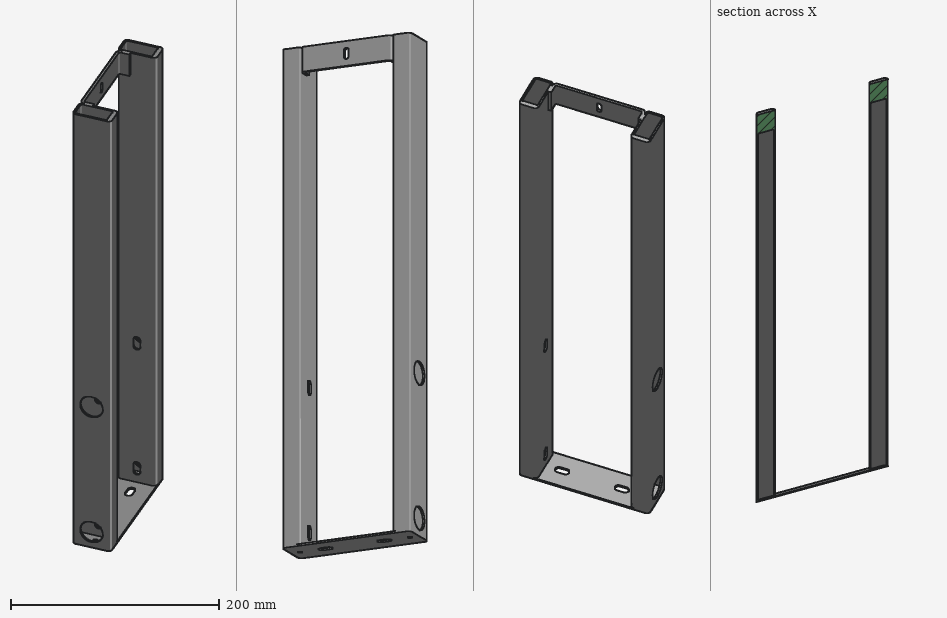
import cadquery as cq

height = 500.0
depth = 40.0
width = 137.0
wall = 2.0

channel_width = 20.0
corner_radius = 4.0
cavity_depth = depth - 2 * wall
cavity_width = channel_width - 2 * wall
channel_center = (width - channel_width) / 2
gap = width - 2 * channel_width

slot_width = 7.5
slot_length = 14.5
access_diameter = 23.5
slot_heights = (18.0, 163.5)

base_slot_spacing = 62.5
drain_diameter = 4.5

strap_height = 25.0
strap_thickness = 3.0
strap_leg = 13.5
strap_radius = 4.5

stiffener_thickness = strap_thickness
stiffener_height = strap_height

strap_slot_height = height - strap_height / 2
strap_slot_width = 5.0
strap_slot_length = 11.0

sides = (-1, 1)
mid_depth = depth / 2


def upright(side):
    """Rounded box channel, open at the top and standing on the base plate."""
    center_y = side * channel_center
    shell = (
        cq.Workplane("XY")
        .center(mid_depth, center_y)
        .rect(depth, channel_width)
        .extrude(height)
        .edges("|Z")
        .fillet(corner_radius)
    )
    cavity = (
        cq.Workplane("XY")
        .workplane(offset=wall)
        .center(wall + cavity_depth / 2, center_y)
        .rect(cavity_depth, cavity_width)
        .extrude(height)
        .edges("|Z")
        .fillet(corner_radius - wall)
    )
    return shell.cut(cavity)


def stiffener(side):
    """Bar that thickens the back wall at the top end of one channel."""
    back_face = depth - wall / 2
    front_face = depth - wall - stiffener_thickness
    return (
        cq.Workplane("XY")
        .workplane(offset=height - stiffener_height)
        .center((front_face + back_face) / 2, side * channel_center)
        .rect(back_face - front_face, cavity_width)
        .extrude(stiffener_height)
    )


def base_plate():
    """Flat plate under both channels, rounded at the outer corners."""
    return (
        cq.Workplane("XY")
        .center(mid_depth, 0)
        .rect(depth, width)
        .extrude(wall)
        .edges("|Z")
        .fillet(corner_radius)
    )


def top_strap():
    """U-shaped strip with its legs flat against the inner channel walls."""
    bottom = height - strap_height
    outer = (
        cq.Workplane("XY")
        .workplane(offset=bottom)
        .center(strap_leg / 2, 0)
        .rect(strap_leg, gap)
        .extrude(strap_height)
        .edges("|Z and <X")
        .fillet(strap_radius)
    )
    inner = (
        cq.Workplane("XY")
        .workplane(offset=bottom)
        .center(strap_thickness + strap_leg / 2, 0)
        .rect(strap_leg, gap - 2 * strap_thickness)
        .extrude(strap_height)
        .edges("|Z and <X")
        .fillet(strap_radius - strap_thickness)
    )
    return outer.cut(inner)


def side_slots():
    """Upright slots running through both channels along Y."""
    return (
        cq.Workplane("XZ")
        .pushPoints([(mid_depth, z) for z in slot_heights])
        .slot2D(slot_length, slot_width, 90)
        .extrude(width / 2, both=True)
    )


def access_holes(side):
    """Round holes in the outer wall of one channel, in line with the slots."""
    return (
        cq.Workplane("XZ", origin=(0, side * width / 2, 0))
        .pushPoints([(mid_depth, z) for z in slot_heights])
        .circle(access_diameter / 2)
        .extrude(side * channel_width / 2)
    )


def base_openings():
    """Two slots between the channels and one small hole under each channel."""
    slots = (
        cq.Workplane("XY")
        .pushPoints([(mid_depth, side * base_slot_spacing / 2) for side in sides])
        .slot2D(slot_length, slot_width, 90)
        .extrude(wall)
    )
    drains = (
        cq.Workplane("XY")
        .pushPoints([(mid_depth, side * channel_center) for side in sides])
        .circle(drain_diameter / 2)
        .extrude(wall)
    )
    return slots.union(drains)


def strap_slot():
    """Upright slot through the middle of the strap along X."""
    return (
        cq.Workplane("YZ")
        .center(0, strap_slot_height)
        .slot2D(strap_slot_length, strap_slot_width, 90)
        .extrude(strap_thickness)
    )


result = base_plate().union(top_strap())
for side in sides:
    result = result.union(upright(side)).union(stiffener(side)).cut(access_holes(side))
result = result.cut(side_slots()).cut(base_openings()).cut(strap_slot())